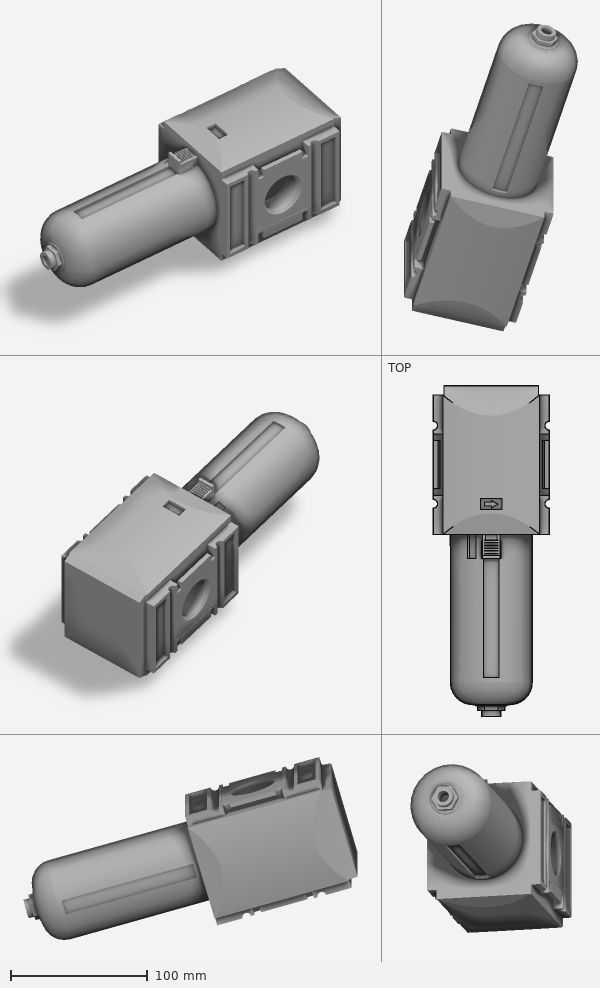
import cadquery as cq
import math


total_length = 242.0
spout_end = 133.0

side_width = 85.0
block_width = 71.0
block_height = 85.0
domed_height = 93.2
pad_height = 71.0
block_length = 102.1
dome_rise = (domed_height - block_height) / 2
end_slope = 15

cap_width = 69.2
cap_length = total_length - spout_end - block_length
cap_end_height = 79.9

port_y = block_length / 2
pad_depth = (side_width - block_width) / 2
port_diameter = 30.2
port_mouth_diameter = 34.0
port_depth = 16.5
port_chamfer = 2.0
groove_radius = 3.1
groove_spacing = 57.0
window_length = 14.0
window_height = 64.0
window_spacing = 82.5
window_depth = 3.5
notch_length = 45.3
notch_floor_z = 26.0
tongue_length = 35.0
tongue_top_thickness = 3.5
tongue_foot_thickness = 5.0
tongue_top_z = 32.7
plate_size = 47.2
plate_depth = 0.2
plate_key_length = 5.8
plate_key_height = 2.2

arrow_pocket_length = 15.7
arrow_pocket_width = 8.2
arrow_pocket_y = 22.3
arrow_pocket_depth = 4.0
arrow_length = 10.2
arrow_height = 0.7
arrow_shaft_width = 3.0
arrow_head_length = 4.8
arrow_head_width = 5.3

bowl_radius = 60.0 / 2
bowl_straight = 108.0
sight_slot_width = 11.1
sight_slot_depth = 2.5
sight_slot_start = 4.5
sight_slot_end = 104.5
index_slot_inner_x = -11.1
index_slot_outer_x = -17.5
index_slot_wall_angle = 30
index_slot_depth = 1.7
index_slot_length = 17.5

collar_diameter = 27.0
collar_end = 124.6
disc_diameter = 23.0
disc_face_diameter = 22.0
disc_end = 125.4
nut_flats = 17.2
nut_end = 128.7
spout_diameter = 14.0
drain_bore_diameter = 8.5
drain_bore_depth = 12.0
tip_radius = bowl_radius - collar_diameter / 2

latch_width = 12.5
latch_length = index_slot_length
latch_base_z = 37.5
latch_lip_z = 41.5
latch_lip_length = 2.2
latch_foot_z = 26.5
rib_count = 6
rib_pitch = 1.95
rib_thickness = 0.5
rib_start = 3.9
rib_width = 10.2
rib_top_z = 40.0
channel_width = 8.2
channel_depth = 0.5
wing_top_z = 34.0
wing_foot_width = 14.3
wing_foot_z = 29.5


def box(x0, x1, y0, y1, z0, z1):
    """Axis-aligned box between two opposite corners."""
    return cq.Workplane("XY").box(x1 - x0, y1 - y0, z1 - z0, centered=False).translate((x0, y0, z0))


def both_sides(shape):
    """The shape together with its mirror image across X = 0."""
    return shape.union(shape.mirror("YZ"))


def along_bowl(start, end, sketch):
    """Extrude a sketch along the bowl axis between two distances from the joint."""
    base = cq.Workplane("XZ", origin=(0, -start, 0))
    return sketch(base).extrude(end - start)


def domed_block():
    half_width = block_width / 2
    half_edge = block_height / 2
    half_crown = domed_height / 2
    section = (
        cq.Workplane("XZ")
        .moveTo(-half_width, -half_edge)
        .threePointArc((0, -half_crown), (half_width, -half_edge))
        .lineTo(half_width, half_edge)
        .threePointArc((0, half_crown), (-half_width, half_edge))
        .close()
        .extrude(-block_length)
    )
    slope_length = dome_rise / math.tan(math.radians(end_slope))
    side_profile = (
        cq.Workplane("YZ")
        .polyline([
            (0, -half_edge),
            (slope_length, -half_crown),
            (block_length - slope_length, -half_crown),
            (block_length, -half_edge),
            (block_length, half_edge),
            (block_length - slope_length, half_crown),
            (slope_length, half_crown),
            (0, half_edge),
        ])
        .close()
        .extrude(block_width / 2, both=True)
    )
    return section.intersect(side_profile)


def end_cap():
    return (
        cq.Workplane("YZ")
        .polyline([
            (block_length, -block_height / 2),
            (block_length + cap_length, -cap_end_height / 2),
            (block_length + cap_length, cap_end_height / 2),
            (block_length, block_height / 2),
        ])
        .close()
        .extrude(cap_width / 2, both=True)
    )


def side_pad():
    """Connection pad on the -X side, without the port."""
    outer_x = -side_width / 2
    inner_x = -block_width / 2
    pad = box(outer_x, inner_x, 0, block_length, -pad_height / 2, pad_height / 2)
    for level in (1, -1):
        notch_height = pad_height / 2 - notch_floor_z
        notch_z = level * (pad_height / 2 + notch_floor_z) / 2
        notch = cq.Workplane("XY").box(pad_depth, notch_length, notch_height)
        pad = pad.cut(notch.translate((outer_x + pad_depth / 2, port_y, notch_z)))
        tongue = (
            cq.Workplane("XZ", origin=(0, port_y, 0))
            .polyline([
                (outer_x, level * notch_floor_z),
                (outer_x + tongue_foot_thickness, level * notch_floor_z),
                (outer_x + tongue_top_thickness, level * tongue_top_z),
                (outer_x, level * tongue_top_z),
            ])
            .close()
            .extrude(tongue_length / 2, both=True)
        )
        pad = pad.union(tongue)
    for end in (1, -1):
        groove_y = port_y + end * groove_spacing / 2
        groove = cq.Workplane("XY").circle(groove_radius).extrude(pad_height / 2, both=True)
        pad = pad.cut(groove.translate((outer_x, groove_y, 0)))
        window_y = port_y + end * window_spacing / 2
        window = cq.Workplane("XY").box(2 * window_depth, window_length, window_height)
        pad = pad.cut(window.translate((outer_x, window_y, 0)))
    return pad.cut(port_seat())


def port_seat():
    """Shallow square seat around the -X port, with one keyed corner left standing."""
    half = plate_size / 2
    outer_x = -side_width / 2
    seat = box(outer_x, outer_x + plate_depth, port_y - half, port_y + half, -half, half)
    key = box(
        outer_x, outer_x + plate_depth,
        port_y - half, port_y - half + plate_key_length,
        -half, -half + plate_key_height,
    )
    return seat.cut(key)


def port():
    """Blind port bore with a chamfered mouth, entering from the -X side."""
    seat_x = -side_width / 2 + plate_depth
    mouth = cq.Workplane("YZ", origin=(seat_x, port_y, 0))
    bore = mouth.circle(port_diameter / 2).extrude(port_depth)
    chamfer = (
        mouth.circle(port_mouth_diameter / 2)
        .workplane(offset=port_chamfer)
        .circle(port_diameter / 2)
        .loft()
    )
    return bore.union(chamfer)


def arrow_pocket():
    """Rectangular pocket in the top dome, around a raised arrow pointing to +X."""
    crown_z = domed_height / 2
    floor_z = crown_z - arrow_pocket_depth
    pocket = (
        cq.Workplane("XY", origin=(0, arrow_pocket_y, floor_z))
        .rect(arrow_pocket_length, arrow_pocket_width)
        .extrude(2 * arrow_pocket_depth)
    )
    tail_x = -arrow_length / 2
    tip_x = arrow_length / 2
    neck_x = tip_x - arrow_head_length
    arrow = (
        cq.Workplane("XY", origin=(0, arrow_pocket_y, floor_z))
        .polyline([
            (tail_x, -arrow_shaft_width / 2),
            (neck_x, -arrow_shaft_width / 2),
            (neck_x, -arrow_head_width / 2),
            (tip_x, 0),
            (neck_x, arrow_head_width / 2),
            (neck_x, arrow_shaft_width / 2),
            (tail_x, arrow_shaft_width / 2),
        ])
        .close()
        .extrude(arrow_height)
    )
    return pocket.cut(arrow)


def make_housing():
    housing = domed_block().union(end_cap()).union(both_sides(side_pad()))
    return housing.cut(both_sides(port())).cut(arrow_pocket())


def bowl_shell():
    """Cylinder whose tip is rounded down to the foot of the drain collar."""
    shell = along_bowl(0, bowl_straight + tip_radius, lambda base: base.circle(bowl_radius))
    return shell.faces("<Y").edges().fillet(tip_radius)


def bowl_core(depth, length):
    """The bowl left standing under slots of an even depth."""
    return along_bowl(0, length, lambda base: base.circle(bowl_radius - depth))


def sight_slots():
    """Long straight slots in the top and bottom of the bowl wall."""
    half = sight_slot_width / 2
    cutter = box(-half, half, -sight_slot_end, -sight_slot_start, -bowl_radius, bowl_radius)
    return cutter.cut(bowl_core(sight_slot_depth, sight_slot_end))


def index_slot():
    """Short slot beside the latch, with one upright and one slanted wall."""
    rim_z = math.sqrt(bowl_radius**2 - index_slot_outer_x**2)
    wall_slope = math.tan(math.radians(index_slot_wall_angle))
    wall_foot_z = rim_z - wall_slope * (index_slot_inner_x - index_slot_outer_x)
    wall_top_x = index_slot_outer_x - (bowl_radius - rim_z) / wall_slope
    outline = [
        (index_slot_inner_x, bowl_radius),
        (index_slot_inner_x, wall_foot_z),
        (wall_top_x, bowl_radius),
    ]
    cutter = along_bowl(0, index_slot_length, lambda base: base.polyline(outline).close())
    return cutter.cut(bowl_core(index_slot_depth, index_slot_length))


def drain():
    """Collar, disc, hexagon nut and spout, stacked along the bowl axis."""
    root = bowl_straight
    collar = along_bowl(root, collar_end, lambda base: base.circle(collar_diameter / 2))
    disc = along_bowl(root, disc_end, lambda base: base.circle(disc_diameter / 2))
    disc = disc.faces("<Y").chamfer((disc_diameter - disc_face_diameter) / 2)
    nut_corners = nut_flats / math.cos(math.radians(30))
    nut = along_bowl(root, nut_end, lambda base: base.polygon(6, nut_corners))
    spout = along_bowl(root, spout_end, lambda base: base.circle(spout_diameter / 2))
    return collar.union(disc).union(nut).union(spout)


def drain_bore():
    start = spout_end - drain_bore_depth
    return along_bowl(start, spout_end, lambda base: base.circle(drain_bore_diameter / 2))


def latch():
    """Ribbed push button with a front lip and slanted wings down its sides."""
    half = latch_width / 2
    button = box(-half, half, -latch_length, 0, latch_foot_z, latch_base_z)
    lip_start = latch_length - latch_lip_length
    lip = box(-half, half, -latch_length, -lip_start, latch_base_z, latch_lip_z)
    button = button.union(lip)
    for index in range(rib_count):
        start = rib_start + index * rib_pitch
        rib = box(
            -rib_width / 2, rib_width / 2, -start - rib_thickness, -start, latch_base_z, rib_top_z
        )
        button = button.union(rib)
    channel = box(
        -channel_width / 2, channel_width / 2,
        -rib_start, 0,
        latch_base_z - channel_depth, latch_base_z,
    )
    wing_points = [
        (-wing_foot_width / 2, latch_foot_z),
        (wing_foot_width / 2, latch_foot_z),
        (wing_foot_width / 2, wing_foot_z),
        (half, wing_top_z),
        (-half, wing_top_z),
        (-wing_foot_width / 2, wing_foot_z),
    ]
    wings = along_bowl(
        sight_slot_start, latch_length, lambda base: base.polyline(wing_points).close()
    )
    return button.cut(channel).union(wings)


def make_bowl():
    bowl = bowl_shell().union(drain()).cut(drain_bore()).cut(sight_slots()).cut(index_slot())
    return bowl.union(latch())


housing = make_housing()
bowl = make_bowl()
result = cq.Compound.makeCompound([housing.solids().val(), bowl.solids().val()])